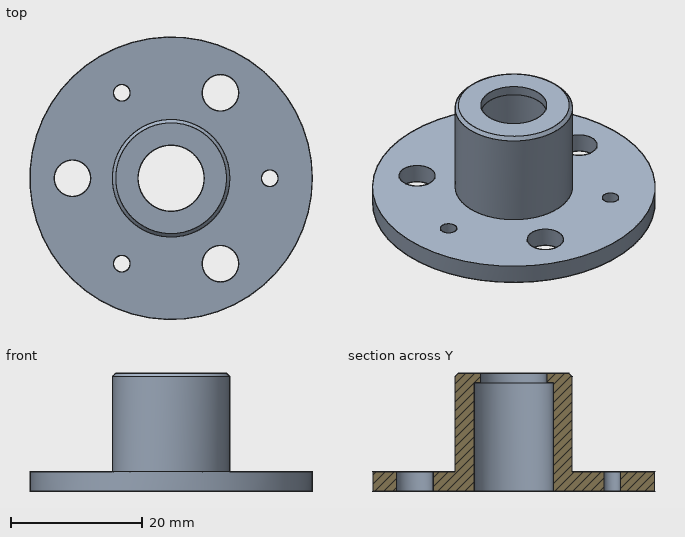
import cadquery as cq

flange_diameter = 43.0
flange_thickness = 3.0
total_height = 18.0

hub_diameter = 17.9
hub_chamfer = 0.5

mouth_diameter = 10.0
mouth_depth = 1.5
relief_diameter = 12.0

pitch_radius = 15.0
large_hole_diameter = 5.5
small_hole_diameter = 2.5
holes_per_set = 3
large_start_angle = 60
small_start_angle = 0


def cylinder(diameter, height, base=0):
    """Upright cylinder on the part axis, starting at the given height."""
    return cq.Workplane("XY").workplane(offset=base).circle(diameter / 2).extrude(height)


def hole_set(diameter, start_angle):
    """Evenly spaced cutters through the flange on the pitch circle."""
    return (
        cq.Workplane("XY")
        .polarArray(pitch_radius, start_angle, 360, holes_per_set)
        .circle(diameter / 2)
        .extrude(flange_thickness)
    )


flange = cylinder(flange_diameter, flange_thickness)
hub = cylinder(hub_diameter, total_height).faces(">Z").edges().chamfer(hub_chamfer)
relief = cylinder(relief_diameter, total_height - mouth_depth)
mouth = cylinder(mouth_diameter, mouth_depth, total_height - mouth_depth)

result = (
    flange.union(hub)
    .cut(relief)
    .cut(mouth)
    .cut(hole_set(large_hole_diameter, large_start_angle))
    .cut(hole_set(small_hole_diameter, small_start_angle))
)